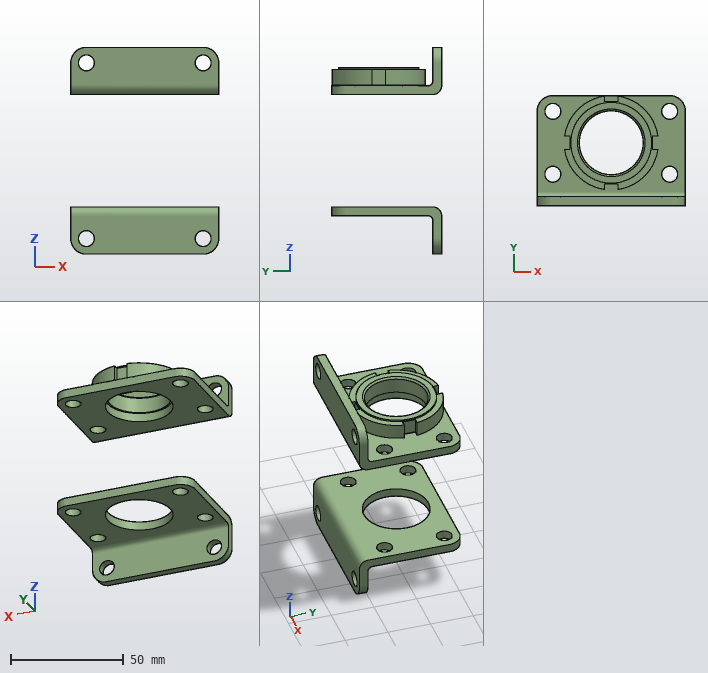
import cadquery as cq
import math

overall_height = 92.0
width = 66.0
depth = 49.0
thickness = 4.05
flange_height = 21.1
outer_bend_radius = 4.1
inner_bend_radius = 2.0

bolt_diameter = 7.0
bolt_spacing_x = 52.0
bolt_spacing_y = 28.0
side_inset = (width - bolt_spacing_x) / 2
plate_corner_radius = 7.1
plate_bolt_inset = 7.0
flange_corner_radius = side_inset
flange_bolt_drop = 6.9

bore_diameter = 30.1
back_y = bolt_spacing_y / 2 + plate_bolt_inset
front_y = back_y - depth
flange_bolt_height = flange_height - flange_bolt_drop

ring_diameter = 41.95
hub_diameter = 36.0
ring_bore = 28.3
bore_chamfer = (bore_diameter - ring_bore) / 2
bottom_hub_height = 0.3
rim_height = 7.0
top_hub_height = 0.7
ring_height = bottom_hub_height + rim_height + top_hub_height
slot_count = 4
slot_width = 6.0
slot_floor_radius = 18.3


def edge_setback(radius, centre_inset, tangent_inset):
    """Distance from a corner to where its arc cuts an edge lying centre_inset from the arc centre."""
    return tangent_inset - math.sqrt(radius**2 - centre_inset**2)


def rounded_end(start, end, radius, centre_drop):
    """Outline, square at start, with arcs about the bolt centres at end."""
    half = width / 2
    centre_x = half - side_inset
    centre_y = end - centre_drop
    side_y = end - edge_setback(radius, side_inset, centre_drop)
    end_x = half - edge_setback(radius, centre_drop, side_inset)
    diagonal = radius / math.sqrt(2)
    mid_x = centre_x + diagonal
    mid_y = centre_y + diagonal
    return (
        cq.Sketch()
        .segment((-half, start), (half, start))
        .segment((half, side_y))
        .arc((half, side_y), (mid_x, mid_y), (end_x, end))
        .segment((end_x, end), (-end_x, end))
        .arc((-end_x, end), (-mid_x, mid_y), (-half, side_y))
        .close()
        .assemble()
    )


def make_bracket():
    """Angle bracket with the plate on Z = 0 and the flange rising at the front."""
    plate_outline = rounded_end(front_y, back_y, plate_corner_radius, plate_bolt_inset)
    plate = cq.Workplane("XY").placeSketch(plate_outline).extrude(thickness)
    flange_outline = rounded_end(0, flange_height, flange_corner_radius, flange_bolt_drop)
    flange_plane = cq.Workplane("XZ", origin=(0, front_y, 0))
    flange = flange_plane.placeSketch(flange_outline).extrude(-thickness)
    bracket = plate.union(flange)

    inner_corner = (0, front_y + thickness, thickness)
    outer_corner = (0, front_y, 0)
    bracket = bracket.edges(cq.NearestToPointSelector(inner_corner)).fillet(inner_bend_radius)
    bracket = bracket.edges(cq.NearestToPointSelector(outer_corner)).fillet(outer_bend_radius)

    bore = cq.Workplane("XY").circle(bore_diameter / 2).extrude(thickness)
    plate_bolts = (
        cq.Workplane("XY")
        .rarray(bolt_spacing_x, bolt_spacing_y, 2, 2)
        .circle(bolt_diameter / 2)
        .extrude(thickness)
    )
    flange_bolts = (
        flange_plane.center(0, flange_bolt_height)
        .rarray(bolt_spacing_x, 0.9, 2, 1)
        .circle(bolt_diameter / 2)
        .extrude(-thickness)
    )
    return bracket.cut(bore).cut(plate_bolts).cut(flange_bolts)


def make_slotted_ring():
    """Ring with a raised hub on both faces and slots around its rim, standing on Z = 0."""
    hub = cq.Workplane("XY").circle(hub_diameter / 2).extrude(ring_height)
    rim = cq.Workplane("XY", origin=(0, 0, bottom_hub_height)).circle(ring_diameter / 2).extrude(rim_height)
    ring = hub.union(rim)
    slot_length = ring_diameter / 2
    slot = cq.Workplane("XY").box(slot_length, slot_width, ring_height, centered=(False, True, False))
    slot = slot.translate((slot_floor_radius, 0, 0))
    for index in range(slot_count):
        angle = index * 360 / slot_count
        ring = ring.cut(slot.rotate((0, 0, 0), (0, 0, 1), angle))
    bore = cq.Workplane("XY").circle(ring_bore / 2).extrude(ring_height)
    ring = ring.cut(bore)
    return ring.faces(">Z").edges("%CIRCLE").edges(cq.selectors.RadiusNthSelector(0)).chamfer(bore_chamfer)


plate_level = overall_height / 2 - flange_height
brackets = []
for upside_down in (False, True):
    bracket = make_bracket().translate((0, 0, plate_level))
    if upside_down:
        bracket = bracket.mirror("XY")
    brackets.append(bracket.val())

slotted_ring = make_slotted_ring().translate((0, 0, plate_level + thickness))

result = cq.Compound.makeCompound([*brackets, slotted_ring.val()])